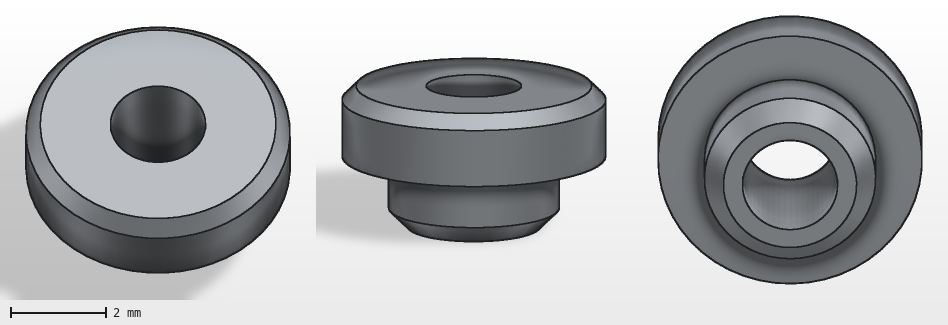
import cadquery as cq

flange_diameter = 5.55
neck_diameter = 3.595
bore_diameter = 2.0
total_height = 3.03
flange_height = 1.51
flange_chamfer = 0.3
neck_chamfer = 0.4

neck_height = total_height - flange_height

neck = (
    cq.Workplane("XY")
    .circle(neck_diameter / 2)
    .extrude(neck_height)
    .faces("<Z")
    .chamfer(neck_chamfer)
)

flange = (
    cq.Workplane("XY", origin=(0, 0, neck_height))
    .circle(flange_diameter / 2)
    .extrude(flange_height)
    .faces(">Z")
    .chamfer(flange_chamfer)
)

bore = cq.Workplane("XY").circle(bore_diameter / 2).extrude(total_height)

result = neck.union(flange).cut(bore)